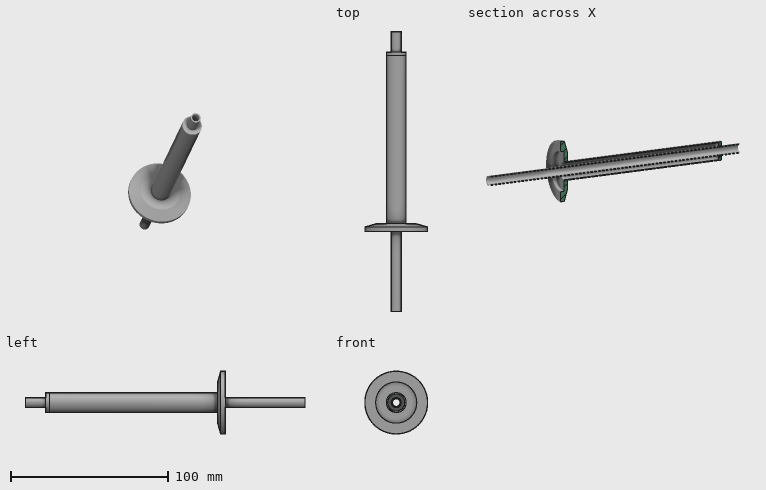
import cadquery as cq

TOTAL_LENGTH = 177.8

INNER_TUBE_OD = 6.4
INNER_TUBE_ID = 4.8

OUTER_TUBE_OD = 12.6
OUTER_TUBE_ID = 10.8
CAP_THICKNESS = 2.3
CAP_END_Y = TOTAL_LENGTH - 13.0
CAP_START_Y = CAP_END_Y - CAP_THICKNESS

FLANGE_OD = 40.0
FLANGE_FACE_Y = 50.7
FLANGE_THICKNESS = 5.2
FLANGE_RIM_THICKNESS = 3.0
FLANGE_BACK_DIAMETER = 25.2
RECESS_DIAMETER = 26.1
RECESS_DEPTH = 2.5
RECESS_FLOOR_Y = FLANGE_FACE_Y + RECESS_DEPTH


def ring(outer_diameter, inner_diameter, start_y, end_y):
    """Hollow cylinder about the Y axis between two Y positions."""
    return (
        cq.Workplane("XZ", origin=(0, start_y, 0))
        .circle(outer_diameter / 2)
        .circle(inner_diameter / 2)
        .extrude(start_y - end_y)
    )


def make_flange():
    """Disc with a tapered back, a recessed front face and a bore for the outer tube."""
    rim_end_y = FLANGE_FACE_Y + FLANGE_RIM_THICKNESS
    back_y = FLANGE_FACE_Y + FLANGE_THICKNESS
    half_section = [
        (RECESS_DIAMETER / 2, FLANGE_FACE_Y),
        (FLANGE_OD / 2, FLANGE_FACE_Y),
        (FLANGE_OD / 2, rim_end_y),
        (FLANGE_BACK_DIAMETER / 2, back_y),
        (OUTER_TUBE_OD / 2, back_y),
        (OUTER_TUBE_OD / 2, RECESS_FLOOR_Y),
        (RECESS_DIAMETER / 2, RECESS_FLOOR_Y),
    ]
    return cq.Workplane("XY").polyline(half_section).close().revolve(360, (0, 0, 0), (0, 1, 0))


flange = make_flange()
outer_tube = ring(OUTER_TUBE_OD, OUTER_TUBE_ID, RECESS_FLOOR_Y, CAP_START_Y)
end_cap = ring(OUTER_TUBE_OD, INNER_TUBE_OD, CAP_START_Y, CAP_END_Y)
inner_tube = ring(INNER_TUBE_OD, INNER_TUBE_ID, 0, TOTAL_LENGTH)

result = cq.Compound.makeCompound(
    [flange.val(), outer_tube.val(), end_cap.val(), inner_tube.val()]
)